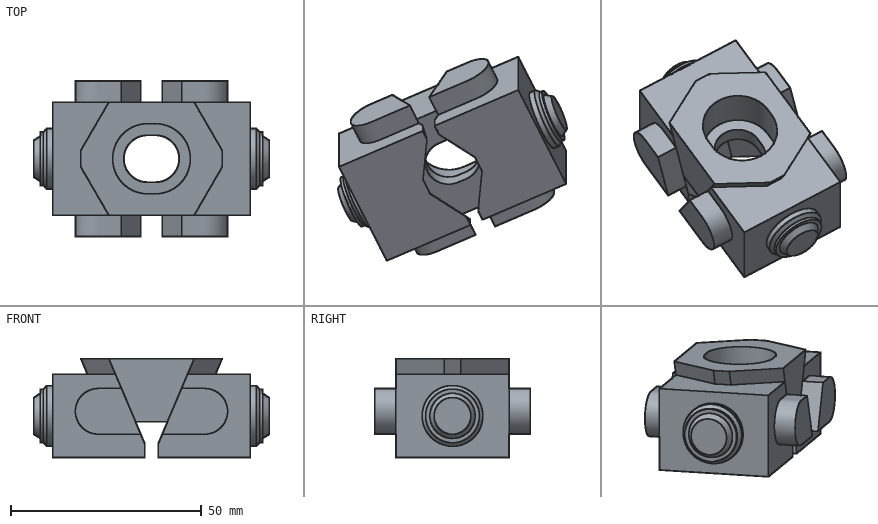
import cadquery as cq
import math

BLOCK_END = 26.05
BLOCK_WIDTH = 29.75
BLOCK_HEIGHT = 22.0
HALF_GAP = 1.75
HALF_WIDTH = BLOCK_WIDTH / 2

TOP_Z = 26.05
WEDGE_BOTTOM_Z = 9.4
FLANK_SLOPE = math.tan(math.radians(23))
EDGE_X = 11.2
NOSE_X = 18.6
NOSE_HALF_WIDTH = 2.2

BORE_RADIUS = 9.25
BORE_OFFSET = 1.0
BORE_FLOOR_Z = 14.15
HOLE_RADIUS = 6.15
HOLE_OFFSET = 1.1

LUG_RADIUS = 6.0
LUG_CENTRE_X = 14.0
LUG_CENTRE_Z = 12.2
LUG_LENGTH = (41.0 - BLOCK_WIDTH) / 2

BUTTON_RADIUS = 8.0
BUTTON_RIM_X = 27.5
COLLAR_RADIUS = 7.05
COLLAR_START_X = 28.45
COLLAR_END_X = 29.25
CONE_RADIUS = 5.95
TIP_RADIUS = 4.85
TIP_X = 31.0


def flank_inset(z):
    """Distance by which the flanks have moved inward at height z."""
    return (TOP_Z - z) * FLANK_SLOPE


def wedge_section(z):
    """Eight-sided horizontal section of the wedge at height z."""
    edge = EDGE_X - flank_inset(z)
    nose = NOSE_X - flank_inset(z)
    corners = [
        (edge, HALF_WIDTH), (-edge, HALF_WIDTH),
        (-nose, NOSE_HALF_WIDTH), (-nose, -NOSE_HALF_WIDTH),
        (-edge, -HALF_WIDTH), (edge, -HALF_WIDTH),
        (nose, -NOSE_HALF_WIDTH), (nose, NOSE_HALF_WIDTH),
    ]
    return cq.Wire.makePolygon([cq.Vector(x, y, z) for x, y in corners], close=True)


def wedge_blank(bottom_z):
    return cq.Workplane(cq.Solid.makeLoft([wedge_section(TOP_Z), wedge_section(bottom_z)], True))


def oblong_cutter(radius, offset, bottom_z):
    return (
        cq.Workplane("XY", origin=(0, 0, bottom_z))
        .slot2D(2 * (radius + offset), 2 * radius)
        .extrude(TOP_Z - bottom_z)
    )


def make_wedge():
    bore = oblong_cutter(BORE_RADIUS, BORE_OFFSET, BORE_FLOOR_Z)
    hole = oblong_cutter(HOLE_RADIUS, HOLE_OFFSET, WEDGE_BOTTOM_Z)
    return wedge_blank(WEDGE_BOTTOM_Z).cut(bore).cut(hole)


def make_lug():
    """Lug on the front face of the +X jaw: round outside, sloped like the wedge inside."""
    top = LUG_CENTRE_Z + LUG_RADIUS
    bottom = LUG_CENTRE_Z - LUG_RADIUS
    return (
        cq.Workplane("XZ", origin=(0, -HALF_WIDTH, 0))
        .moveTo(EDGE_X - flank_inset(bottom), bottom)
        .lineTo(LUG_CENTRE_X, bottom)
        .threePointArc((LUG_CENTRE_X + LUG_RADIUS, LUG_CENTRE_Z), (LUG_CENTRE_X, top))
        .lineTo(EDGE_X - flank_inset(top), top)
        .close()
        .extrude(LUG_LENGTH)
    )


def make_button():
    """Stepped round button on the +X end face, with a conical tip cut off flat."""
    profile = [
        (BLOCK_END, 0), (BLOCK_END, BUTTON_RADIUS), (BUTTON_RIM_X, BUTTON_RADIUS),
        (COLLAR_START_X, COLLAR_RADIUS), (COLLAR_END_X, COLLAR_RADIUS),
        (COLLAR_END_X, CONE_RADIUS), (TIP_X, TIP_RADIUS), (TIP_X, 0),
    ]
    return (
        cq.Workplane("XY", origin=(0, 0, BLOCK_HEIGHT / 2))
        .polyline(profile)
        .close()
        .revolve(360, (0, 0, 0), (1, 0, 0))
    )


def make_jaw():
    """Jaw on the +X side."""
    block = cq.Workplane("XY").box(
        BLOCK_END - HALF_GAP, BLOCK_WIDTH, BLOCK_HEIGHT, centered=(False, True, False)
    ).translate((HALF_GAP, 0, 0))
    seated_block = block.cut(wedge_blank(0))
    lug = make_lug()
    return seated_block.union(lug).union(lug.mirror("XZ")).union(make_button())


wedge = make_wedge()
jaws = []
for turn in (0, 180):
    jaws.append(make_jaw().rotate((0, 0, 0), (0, 0, 1), turn))

result = cq.Compound.makeCompound([wedge.val(), *[jaw.solids().val() for jaw in jaws]])